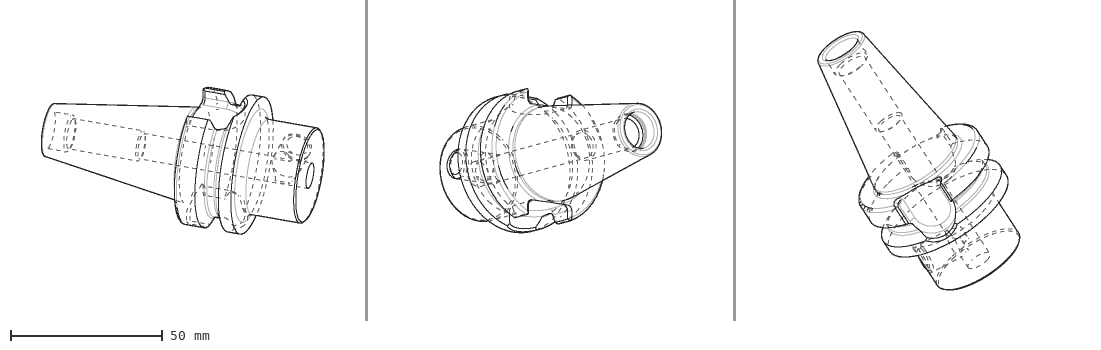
import cadquery as cq
import math

total_length = 90.4
taper_per_length = 7 / 24
gauge_x = 48.4
gauge_radius = 15.9
tip_rounding = 0.5

flange_start_x = 50.4
flange_end_x = 70.3
flange_diameter = 46.0
flange_radius = flange_diameter / 2
root_fillet = 1.0
rim_fillet = 1.0
groove_start_x = 57.9
groove_end_x = 66.0
groove_floor_radius = 19.0
groove_flank_angle = 30.0
groove_corner_fillet = 0.9

nose_radius = 16.0
nose_fillet = 3.0
nose_chamfer = 0.5

slot_floor_z = 16.2
slot_half_width = 8.05
slot_end_center_x = 59.4
slot_floor_fillet = 1.7
slot_mouth_chamfer = rim_fillet
slot_rim_chamfer = 0.9
slot_top_z = flange_radius + 0.9
match_tolerance = 0.02

entry_radius = 6.15
entry_rounding = 0.8
ring_groove_radius = 6.3
ring_groove_start_x = 5.0
ring_groove_floor_start_x = 5.8
ring_groove_floor_end_x = 6.4
ring_groove_end_x = 7.05
thread_radius = 5.1
thread_end_x = 31.6
through_radius = 4.25
bore_cone_angle = 59.0

screw_x = 80.9
screw_radius = 5.0
screw_face_radius = 3.6
screw_top_y = 15.9


def outer_form():
    """Solid of revolution about X: tapered shank, grooved flange and nose."""
    tip_radius = gauge_radius - (gauge_x - tip_rounding) * taper_per_length / 2
    flank_run = (flange_radius - groove_floor_radius) * math.tan(math.radians(groove_flank_angle))
    form = (
        cq.Workplane("XY")
        .lineTo(0, tip_radius - tip_rounding)
        .radiusArc((tip_rounding, tip_radius), tip_rounding)
        .lineTo(gauge_x, gauge_radius)
        .lineTo(flange_start_x - root_fillet, gauge_radius)
        .radiusArc((flange_start_x, gauge_radius + root_fillet), -root_fillet)
        .lineTo(flange_start_x, flange_radius - rim_fillet)
        .radiusArc((flange_start_x + rim_fillet, flange_radius), rim_fillet)
        .lineTo(groove_start_x, flange_radius)
        .lineTo(groove_start_x + flank_run, groove_floor_radius)
        .lineTo(groove_end_x - flank_run, groove_floor_radius)
        .lineTo(groove_end_x, flange_radius)
        .lineTo(flange_end_x, flange_radius)
        .lineTo(flange_end_x, nose_radius + nose_fillet)
        .radiusArc((flange_end_x + nose_fillet, nose_radius), -nose_fillet)
        .lineTo(total_length - nose_chamfer, nose_radius)
        .lineTo(total_length, nose_radius - nose_chamfer)
        .lineTo(total_length, 0)
        .close()
        .revolve(360, (0, 0, 0), (1, 0, 0))
    )
    groove_corners = cq.selectors.BoxSelector(
        (groove_start_x + flank_run / 2, -flange_radius, -flange_radius),
        (groove_end_x - flank_run / 2, flange_radius, flange_radius),
    )
    return form.edges(groove_corners).fillet(groove_corner_fillet)


def slot_cutter():
    """Round-ended slot with a rounded floor edge, open towards -X."""
    open_end_x = gauge_x
    return (
        cq.Workplane("XY", origin=(0, 0, slot_floor_z))
        .moveTo(open_end_x, -slot_half_width)
        .lineTo(slot_end_center_x, -slot_half_width)
        .radiusArc((slot_end_center_x, slot_half_width), -slot_half_width)
        .lineTo(open_end_x, slot_half_width)
        .close()
        .extrude(slot_top_z - slot_floor_z)
        .faces("<Z")
        .edges("not <X")
        .fillet(slot_floor_fillet)
    )


def slot_section(workplane, half_width):
    """Cross-section of the slot, floor corners rounded, on a YZ workplane."""
    corner_y = half_width - slot_floor_fillet
    corner_z = slot_floor_z + slot_floor_fillet
    return (
        workplane.moveTo(-half_width, slot_top_z)
        .lineTo(-half_width, corner_z)
        .radiusArc((-corner_y, slot_floor_z), -slot_floor_fillet)
        .lineTo(corner_y, slot_floor_z)
        .radiusArc((half_width, corner_z), -slot_floor_fillet)
        .lineTo(half_width, slot_top_z)
        .close()
    )


def slot_mouth_cutter():
    """Widened slot mouth that chamfers the slot walls at the flange face."""
    wide = slot_section(
        cq.Workplane("YZ", origin=(flange_start_x, 0, 0)), slot_half_width + slot_mouth_chamfer
    )
    return slot_section(wide.workplane(offset=slot_mouth_chamfer), slot_half_width).loft(ruled=True)


def on_both_sides(cutter):
    """The cutter together with its copy turned half a turn about X."""
    return cutter.union(cutter.rotate((0, 0, 0), (1, 0, 0), 180))


def bore_cutter():
    """Bore through the whole length, narrowing in conical steps towards +X."""
    cone_slope = math.tan(math.radians(bore_cone_angle))
    thread_start_x = ring_groove_end_x + (entry_radius - thread_radius) / cone_slope
    through_start_x = thread_end_x + (thread_radius - through_radius) / cone_slope
    return (
        cq.Workplane("XY")
        .lineTo(0, entry_radius + entry_rounding)
        .radiusArc((entry_rounding, entry_radius), -entry_rounding)
        .lineTo(ring_groove_start_x, entry_radius)
        .lineTo(ring_groove_floor_start_x, ring_groove_radius)
        .lineTo(ring_groove_floor_end_x, ring_groove_radius)
        .lineTo(ring_groove_end_x, entry_radius)
        .lineTo(thread_start_x, thread_radius)
        .lineTo(thread_end_x, thread_radius)
        .lineTo(through_start_x, through_radius)
        .lineTo(total_length, through_radius)
        .lineTo(total_length, 0)
        .close()
        .revolve(360, (0, 0, 0), (1, 0, 0))
    )


def screw_hole_cutter():
    """Hole from outside the nose down to the bore axis."""
    return (
        cq.Workplane("XZ", origin=(screw_x, flange_radius, 0))
        .circle(screw_radius)
        .extrude(flange_radius)
    )


def is_slot_rim(edge):
    """True for an edge where a slot wall meets the outer cylinder of the flange."""
    middle = edge.positionAt(0.5)
    axis_distance = math.hypot(middle.y, middle.z)
    lies_on_rim = abs(axis_distance - flange_radius) < match_tolerance
    return lies_on_rim and abs(middle.y) < slot_half_width + match_tolerance


def chamfer_slot_rims(holder):
    rims = [edge for edge in holder.edges().vals() if is_slot_rim(edge)]
    return holder.newObject(rims).chamfer(slot_rim_chamfer)


def make_holder():
    holder = outer_form()
    holder = holder.cut(on_both_sides(slot_cutter()))
    holder = holder.cut(on_both_sides(slot_mouth_cutter()))
    holder = chamfer_slot_rims(holder)
    return holder.cut(bore_cutter()).cut(screw_hole_cutter())


def make_screw():
    """Screw with a chamfered outer end; its flat inner end stops at the bore."""
    return (
        cq.Workplane("XZ", origin=(screw_x, screw_top_y, 0))
        .circle(screw_radius)
        .extrude(screw_top_y - through_radius)
        .faces(">Y")
        .chamfer(screw_radius - screw_face_radius)
    )


holder = make_holder()
screw = make_screw()
result = cq.Compound.makeCompound([holder.val(), screw.val()])